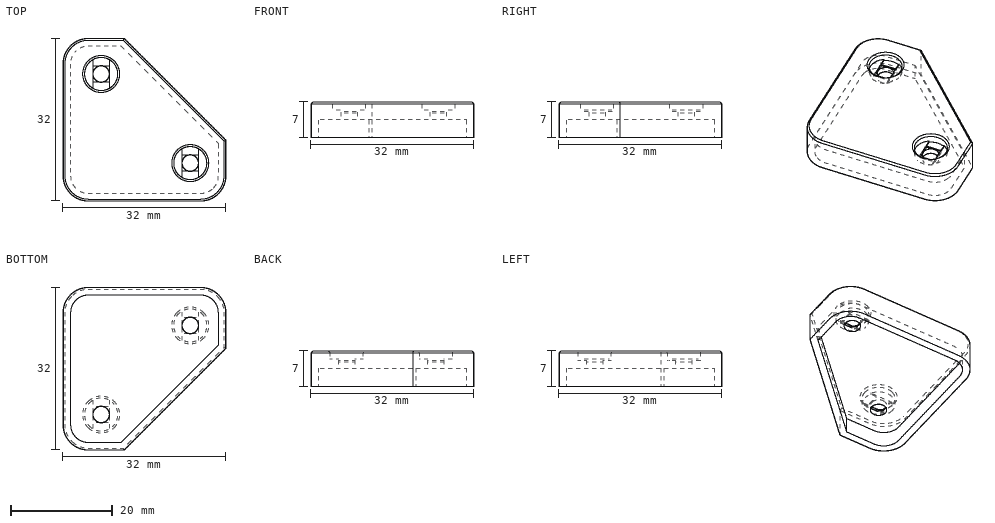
import cadquery as cq
import math

side = 32.0
height = 7.0
corner_radius = 5.0
short_edge_end = 12.0
edge_chamfer = 0.4

pocket_wall = 1.5
pocket_depth = 3.6

hole_near = 7.5
hole_far = 25.0
hole_centers = [(hole_near, hole_far), (hole_far, hole_near)]
screw_diameter = 3.2
head_diameter = 6.5
head_depth = 1.6
head_chamfer = 0.4
step_depth = 0.3


def rounded_prism(wall, prism_height):
    """Plate outline moved inward by the wall, extruded up from the underside."""
    low = wall
    high = side - wall
    diagonal_end = short_edge_end + wall * (1 - math.sqrt(2))
    prism = (
        cq.Workplane("XY")
        .polyline([
            (low, low),
            (high, low),
            (high, diagonal_end),
            (diagonal_end, high),
            (low, high),
        ])
        .close()
        .extrude(prism_height)
    )
    for x, y in [(low, low), (high, low), (low, high)]:
        corner = cq.selectors.NearestToPointSelector((x, y, prism_height / 2))
        prism = prism.edges("|Z").edges(corner).fillet(corner_radius - wall)
    return prism


def make_plate():
    """Chamfered plate, hollow underneath."""
    plate = rounded_prism(0, height).faces(">Z").edges().chamfer(edge_chamfer)
    return plate.cut(rounded_prism(pocket_wall, pocket_depth))


def make_screw_hole():
    """Chamfered head recess, then a slot, a square and the round through hole."""
    seat = height - head_depth
    head = cq.Workplane("XY").workplane(offset=seat).circle(head_diameter / 2).extrude(head_depth)
    mouth = (
        cq.Workplane("XY")
        .workplane(offset=height)
        .circle(head_diameter / 2 + head_chamfer)
        .workplane(offset=-head_chamfer)
        .circle(head_diameter / 2)
        .loft()
    )
    slot = (
        cq.Workplane("XY")
        .workplane(offset=seat - step_depth)
        .circle(head_diameter / 2)
        .extrude(step_depth)
        .intersect(cq.Workplane("XY").box(screw_diameter, head_diameter, 2 * height))
    )
    square = (
        cq.Workplane("XY")
        .workplane(offset=seat - 2 * step_depth)
        .rect(screw_diameter, screw_diameter)
        .extrude(step_depth)
    )
    shaft = cq.Workplane("XY").circle(screw_diameter / 2).extrude(height)
    return shaft.union(square).union(slot).union(head).union(mouth)


result = make_plate()
screw_hole = make_screw_hole()
for x, y in hole_centers:
    result = result.cut(screw_hole.translate((x, y, 0)))